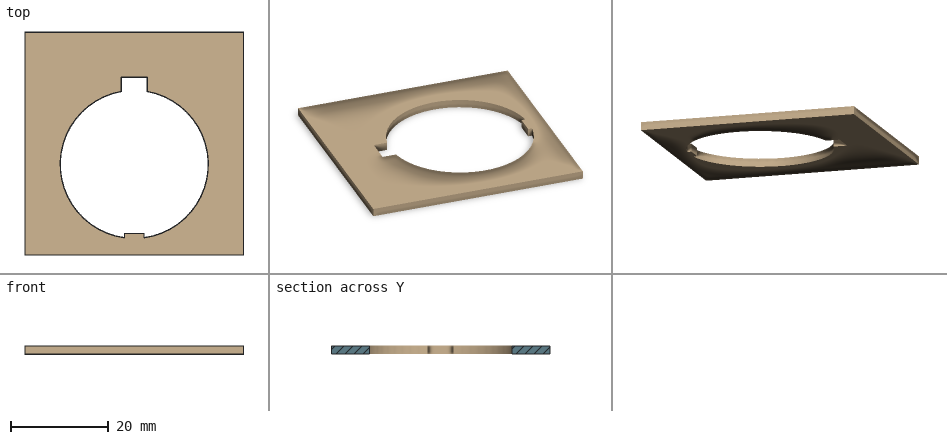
import cadquery as cq

plate_width = 44.8
plate_length = 45.75
plate_thickness = 1.7

opening_diameter = 30.3
opening_radius = opening_diameter / 2
opening_center_y = -4.25

notch_width = 5.25
notch_top_from_center = 17.85

key_width = 4.0
key_face_from_center = 14.15


def make_plate():
    return cq.Workplane("XY").box(
        plate_width, plate_length, plate_thickness, centered=(True, True, False)
    )


def make_opening():
    """Round cutter with the notch added and the key left out."""
    base = cq.Workplane("XY").center(0, opening_center_y)
    disc = base.circle(opening_radius).extrude(plate_thickness)
    notch = (
        base.center(0, notch_top_from_center / 2)
        .rect(notch_width, notch_top_from_center)
        .extrude(plate_thickness)
    )
    key_height = opening_radius - key_face_from_center
    key = (
        base.center(0, -key_face_from_center - key_height / 2)
        .rect(key_width, key_height)
        .extrude(plate_thickness)
    )
    return disc.union(notch).cut(key)


result = make_plate().cut(make_opening())